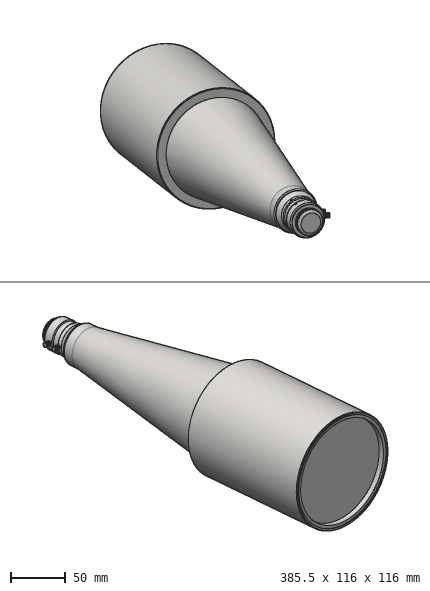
import cadquery as cq
import math

hood_diameter = 116.0
hood_radius = hood_diameter / 2
hood_end = 144.5
hood_chamfer = 0.8
step_radius = 55.5
step_depth = 0.8
window_radius = 52.5
window_depth = 6.5

cone_start = 145.5
cone_start_radius = 49.0
cone_end = 336.2

sleeve_radius = 21.2
sleeve_end = 347.8
sleeve_chamfer = 1.0
sleeve_neck_end = 349.0
taper_end = 354.7

rear_radius = 17.0
groove_start = 360.0
groove_end = 366.3
groove_depth = 0.95
rear_end = 378.0
rear_chamfer = 1.0
rear_neck_end = 379.0

length = 385.5
mount_radius = 12.7
mount_tip_radius = 9.5
mount_chamfer = 1.5
thread_count = 5
thread_depth = 0.45
thread_pitch = (length - mount_chamfer - rear_neck_end) / thread_count

screw_positions = (357.5, 369.0)
head_radius = 2.5
head_bottom = 19.3
head_top = 24.3
knurl_count = 12
knurl_radius = 0.5
shank_radius = 1.35
shank_bottom = 13.0
set_hole_radius = 0.95
set_hole_angles = (120, 240)


def thread_points():
    """V-grooves side by side along the mount."""
    points = []
    for i in range(thread_count):
        crest = rear_neck_end + i * thread_pitch
        points.append((crest, mount_radius))
        points.append((crest + thread_pitch / 2, mount_radius - thread_depth))
    return points


def barrel_outline():
    """Half outline of the barrel as (x, radius) points."""
    sleeve_neck_radius = sleeve_radius - sleeve_chamfer
    groove_radius = rear_radius - groove_depth
    rear_neck_radius = rear_radius - rear_chamfer
    return [
        (window_depth, 0),
        (window_depth, window_radius),
        (step_depth, window_radius),
        (step_depth, step_radius),
        (0, step_radius),
        (0, hood_radius - hood_chamfer),
        (hood_chamfer, hood_radius),
        (hood_end - hood_chamfer, hood_radius),
        (hood_end, hood_radius - hood_chamfer),
        (hood_end, cone_start_radius),
        (cone_start, cone_start_radius),
        (cone_end, sleeve_radius),
        (sleeve_end - sleeve_chamfer, sleeve_radius),
        (sleeve_end, sleeve_neck_radius),
        (sleeve_neck_end, sleeve_neck_radius),
        (taper_end, rear_radius),
        (groove_start - groove_depth, rear_radius),
        (groove_start, groove_radius),
        (groove_end, groove_radius),
        (groove_end + groove_depth, rear_radius),
        (rear_end - rear_chamfer, rear_radius),
        (rear_end, rear_neck_radius),
        (rear_neck_end, rear_neck_radius),
        *thread_points(),
        (length - mount_chamfer, mount_radius),
        (length, mount_tip_radius),
        (length, 0),
    ]


def radial_cylinder(x, radius, inner, outer, z=0.0):
    """Cylinder along +Y, from y = inner to y = outer."""
    base = cq.Vector(x, inner, z)
    return cq.Workplane(cq.Solid.makeCylinder(radius, outer - inner, base, cq.Vector(0, 1, 0)))


def make_barrel():
    outline = cq.Workplane("XY").polyline(barrel_outline()).close()
    barrel = outline.revolve(360, (0, 0, 0), (1, 0, 0))
    for x in screw_positions:
        barrel = barrel.cut(radial_cylinder(x, shank_radius, shank_bottom, head_bottom))
        set_hole = radial_cylinder(x, set_hole_radius, shank_bottom, head_bottom)
        for angle in set_hole_angles:
            barrel = barrel.cut(set_hole.rotate((0, 0, 0), (1, 0, 0), angle))
    return barrel.solids()


def make_screw(x):
    """Thumbscrew with a knurled head outside the barrel and a plain shank in its hole."""
    head = radial_cylinder(x, head_radius, head_bottom, head_top)
    for i in range(knurl_count):
        angle = 2 * math.pi * i / knurl_count
        knurl_x = x + head_radius * math.cos(angle)
        knurl_z = head_radius * math.sin(angle)
        head = head.cut(radial_cylinder(knurl_x, knurl_radius, head_bottom, head_top, knurl_z))
    return head.union(radial_cylinder(x, shank_radius, shank_bottom, head_bottom)).solids()


barrel = make_barrel()
screws = [make_screw(x) for x in screw_positions]
result = cq.Compound.makeCompound([barrel.val(), *[screw.val() for screw in screws]])